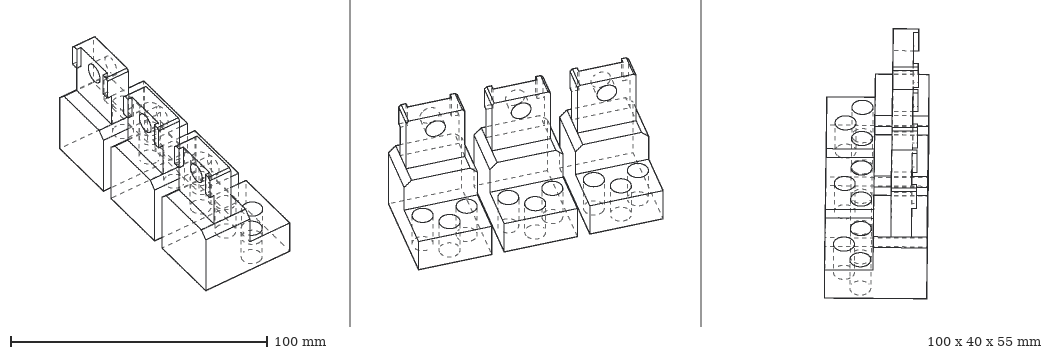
import cadquery as cq

mount_count = 3
mount_width = 30.0
mount_gap = 5.0
mount_pitch = mount_width + mount_gap

foot_depth = 40.0
foot_height = 15.0
block_depth = 21.0
block_height = 30.0
block_chamfer = 3.0

tab_width = mount_width - 2 * block_chamfer
tab_front = 4.0
tab_back = 14.0
tab_top = 55.0
tab_chamfer = 1.0

recess_depth = 2.0
ear_bottom = 45.0
ear_spacing = 18.0

foot_hole_diameter = 8.2
tab_hole_diameter = 8.0
tab_hole_height = 48.0
side_hole_offset = 9.0
side_hole_y = 26.0
middle_hole_y = 32.5


def box(width, front, back, bottom, top):
    """Box centred on X = 0 that spans the given Y and Z ranges."""
    size_y = back - front
    size_z = top - bottom
    return cq.Workplane("XY").box(width, size_y, size_z, centered=(True, False, False)).translate(
        (0, front, bottom)
    )


def make_base():
    """Foot and block, with the block's upper side edges chamfered."""
    foot = box(mount_width, 0, foot_depth, 0, foot_height)
    block = box(mount_width, 0, block_depth, 0, block_height)
    block = block.faces(">Z").edges("|Y").chamfer(block_chamfer)
    return foot.union(block)


def make_tab():
    """Tab with chamfered top corners and a recess that leaves an ear on each side."""
    tab = box(tab_width, tab_front, tab_back, block_height, tab_top)
    tab = tab.faces(">Z").edges("|Y").chamfer(tab_chamfer)
    recess_back = tab_front + recess_depth
    below_ears = box(tab_width, tab_front, recess_back, block_height, ear_bottom)
    between_ears = box(ear_spacing, tab_front, recess_back, block_height, tab_top)
    return tab.cut(below_ears).cut(between_ears)


def make_foot_holes():
    """Three vertical through holes in the foot, the middle one set further back."""
    centres = [
        (-side_hole_offset, side_hole_y),
        (0, middle_hole_y),
        (side_hole_offset, side_hole_y),
    ]
    return cq.Workplane("XY").pushPoints(centres).circle(foot_hole_diameter / 2).extrude(foot_height)


def make_tab_hole():
    """Horizontal hole through the tab along Y."""
    plane = cq.Workplane("XZ").center(0, tab_hole_height)
    return plane.circle(tab_hole_diameter / 2).extrude(-tab_back)


def make_mount(x_centre):
    """One complete mount centred at the given X."""
    mount = make_base().union(make_tab()).cut(make_foot_holes()).cut(make_tab_hole())
    return mount.translate((x_centre, 0, 0))


mounts = [make_mount(mount_width / 2 + index * mount_pitch) for index in range(mount_count)]

result = cq.Compound.makeCompound([mount.solids().val() for mount in mounts])